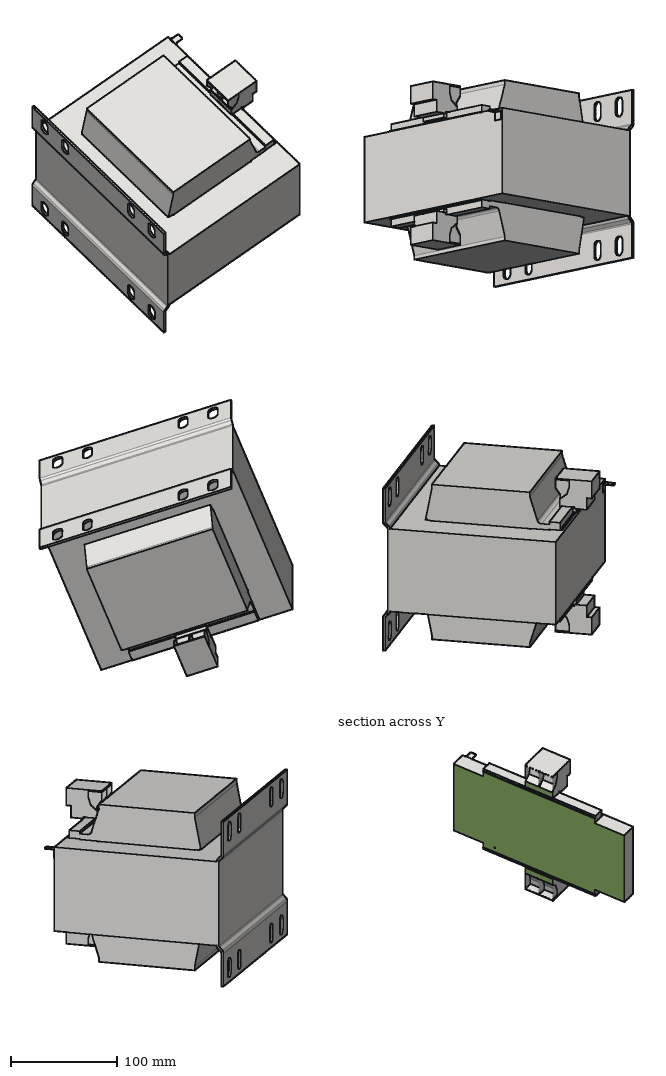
import cadquery as cq
import math

core_width = 192.0
core_front = 7.0
core_back = 167.8
core_half_height = 41.0

window_front = 39.4
window_back = 135.2
coil_half_width = 63.2
coil_back = 134.4
window_clearance = 0.5

coil_top = 77.0
coil_shoulder = 73.0
coil_front_foot = 33.2
coil_back_foot = 142.7
bobbin_floor = 46.7
floor_fillet = 4.0

ledge_front = 153.5
ledge_back = 163.8
ledge_top = 49.2
rim_back = 165.7
rim_top = 42.2
bobbin_gap = 0.5
front_gap_end = 34.8

bracket_height = 161.0
sheet = 2.3
web_front = core_front - sheet
bend_inner = 1.7
bend_outer = bend_inner + sheet
bend_angle = math.radians(45)
web_half_height = 40.9

slot_height = 66.6
slot_length = 18.6
slot_pairs = [(78.0, 9.8), (48.0, 9.2)]

block_half_width = 15.5
block_back = 182.5
block_front = 147.5
block_top = 76.2
block_shelf = 59.1
block_shelf_back = 177.8
block_foot = 47.6
block_foot_front = 165.5
block_nose_bottom = 66.8
block_lip_top = 60.0
block_lip_front = 152.0
block_step_height = 56.5
block_step_front = 151.5

entry_wall = 0.5
entry_roof = 74.9
entry_back = 160.7
entry_back_bottom = 68.7
entry_bend_y = 158.4
entry_bend_z = 61.5

clip_half_width = 14.5
clip_back = 167.6
clip_bottom = 43.8

tab_x = -90.5
tab_sheet = 0.8
tab_top = 38.5
tab_bottom = 30.1
tab_root_width = 8.3
tab_root_end = 170.9
tab_blade_width = 6.5
tab_end = 178.4
tab_corner = 0.8


def extrude_along_x(profile, half_width):
    return profile.extrude(half_width, both=True)


def box_between(x, y, z):
    size = [end - start for start, end in (x, y, z)]
    return cq.Workplane("XY").box(*size, centered=False).translate((x[0], y[0], z[0]))


def mirrored_pair(upper):
    return upper.union(upper.mirror("XY"))


def make_core():
    core = box_between(
        (-core_width / 2, core_width / 2),
        (core_front, core_back),
        (-core_half_height, core_half_height),
    )
    for left in (-coil_half_width - window_clearance, coil_half_width):
        core = core.cut(box_between(
            (left, left + window_clearance),
            (window_front, window_back),
            (-core_half_height, core_half_height),
        ))
    return core


def make_upper_coil():
    underside = core_half_height + bobbin_gap
    coil = extrude_along_x(
        cq.Workplane("YZ")
        .moveTo(front_gap_end, core_half_height)
        .lineTo(front_gap_end, underside)
        .lineTo(coil_front_foot, underside)
        .lineTo(window_front, coil_shoulder)
        .lineTo(window_front, coil_top)
        .lineTo(coil_back, coil_top)
        .lineTo(coil_back, coil_shoulder)
        .lineTo(coil_back_foot, bobbin_floor)
        .lineTo(ledge_front, bobbin_floor)
        .lineTo(ledge_front, core_half_height)
        .close(),
        coil_half_width,
    )
    floor_corner = cq.selectors.NearestToPointSelector((0, coil_back_foot, bobbin_floor))
    coil = coil.edges("|X").edges(floor_corner).fillet(floor_fillet)
    ledge = extrude_along_x(
        cq.Workplane("YZ")
        .moveTo(ledge_front, underside)
        .lineTo(ledge_front, ledge_top)
        .lineTo(ledge_back, ledge_top)
        .lineTo(ledge_back, rim_top)
        .lineTo(rim_back, rim_top)
        .lineTo(rim_back, underside)
        .close(),
        coil_half_width,
    )
    return coil.union(ledge)


def make_upper_flange():
    web_bend_y = web_front - bend_inner
    flange_bend_y = bend_outer
    bend_radii = bend_inner + bend_outer
    slope_y = web_bend_y + bend_radii * math.cos(bend_angle) - flange_bend_y
    slope_z = slope_y / math.tan(bend_angle)
    flange_bend_z = web_half_height + bend_radii * math.sin(bend_angle) + slope_z

    def on_web_bend(radius, angle):
        return (web_bend_y + radius * math.cos(angle), web_half_height + radius * math.sin(angle))

    def on_flange_bend(radius, angle):
        return (flange_bend_y - radius * math.cos(angle), flange_bend_z - radius * math.sin(angle))

    half_bend = bend_angle / 2
    flange = extrude_along_x(
        cq.Workplane("YZ")
        .moveTo(web_front, 0)
        .lineTo(web_front, web_half_height)
        .threePointArc(on_web_bend(bend_inner, half_bend), on_web_bend(bend_inner, bend_angle))
        .lineTo(*on_flange_bend(bend_outer, bend_angle))
        .threePointArc(on_flange_bend(bend_outer, half_bend), on_flange_bend(bend_outer, 0))
        .lineTo(0, bracket_height / 2)
        .lineTo(sheet, bracket_height / 2)
        .lineTo(sheet, flange_bend_z)
        .threePointArc(on_flange_bend(bend_inner, half_bend), on_flange_bend(bend_inner, bend_angle))
        .lineTo(*on_web_bend(bend_outer, bend_angle))
        .threePointArc(on_web_bend(bend_outer, half_bend), on_web_bend(bend_outer, 0))
        .lineTo(core_front, 0)
        .close(),
        core_width / 2,
    )
    for distance, width in slot_pairs:
        slots = (
            cq.Workplane("XZ")
            .pushPoints([(-distance, slot_height), (distance, slot_height)])
            .slot2D(slot_length, width, 90)
            .extrude(-sheet)
        )
        flange = flange.cut(slots)
    return flange


def make_upper_terminal_block():
    block = extrude_along_x(
        cq.Workplane("YZ").polyline([
            (block_back, block_top),
            (block_front, block_top),
            (block_front, block_nose_bottom),
            (block_lip_front, block_lip_top),
            (block_lip_front, block_step_height),
            (block_step_front, block_step_height),
            (block_step_front, ledge_top),
            (block_foot_front, ledge_top),
            (block_foot_front, block_foot),
            (block_shelf_back, block_foot),
            (block_shelf_back, block_shelf),
            (block_back, block_shelf),
        ]).close(),
        block_half_width,
    )
    pole_width = block_half_width
    for pole_left in (-pole_width, 0):
        entry = (
            cq.Workplane("YZ", origin=(pole_left + entry_wall, 0, 0))
            .polyline([
                (block_front, entry_roof),
                (entry_back, entry_roof),
                (entry_back, entry_back_bottom),
                (entry_bend_y, entry_bend_z),
                (block_lip_front, block_step_height),
                (block_front, block_step_height),
            ])
            .close()
            .extrude(pole_width - 2 * entry_wall)
        )
        block = block.cut(entry)
    clip = box_between(
        (-clip_half_width, clip_half_width),
        (ledge_back, clip_back),
        (clip_bottom, ledge_top),
    )
    return block.union(clip)


def make_earth_tab():
    leg = box_between(
        (tab_x - tab_root_width / 2, tab_x + tab_root_width / 2),
        (core_back, core_back + tab_sheet),
        (tab_bottom, tab_top),
    )
    root = box_between(
        (tab_x - tab_root_width / 2, tab_x + tab_root_width / 2),
        (core_back, tab_root_end),
        (tab_top - tab_sheet, tab_top),
    )
    blade = box_between(
        (tab_x - tab_blade_width / 2, tab_x + tab_blade_width / 2),
        (core_back, tab_end),
        (tab_top - tab_sheet, tab_top),
    ).edges("|Z and >Y").chamfer(tab_corner)
    return leg.union(root).union(blade)


result = (
    make_core()
    .union(mirrored_pair(make_upper_coil()))
    .union(mirrored_pair(make_upper_flange()))
    .union(mirrored_pair(make_upper_terminal_block()))
    .union(make_earth_tab())
)